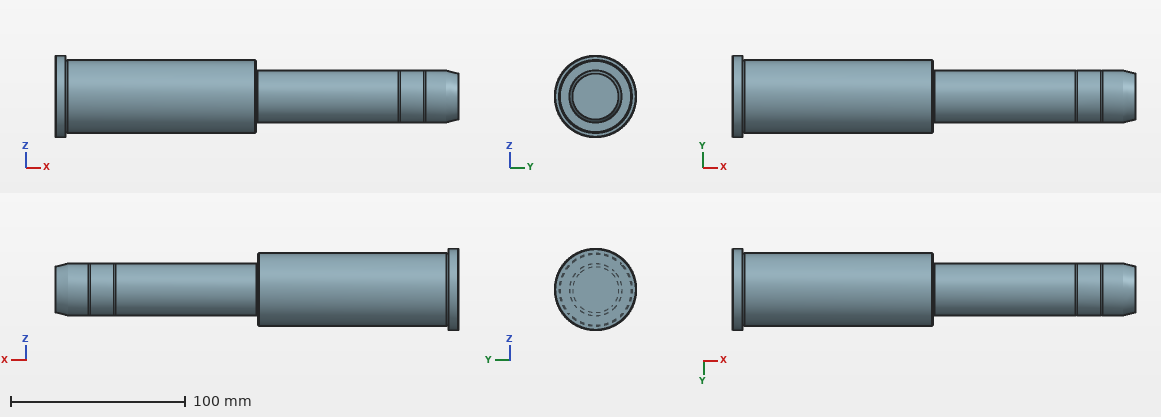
import cadquery as cq
import math

TOTAL_LENGTH = 231.0

HEAD_DIAMETER = 47.0
HEAD_LENGTH = 6.0
HEAD_CHAMFER = 0.5

RELIEF_WIDTH = 1.2
RELIEF_DEPTH = 0.35

BODY_DIAMETER = 42.0
BODY_END = 115.0
BODY_CHAMFER = 0.7

PIN_DIAMETER = 30.0
ROOT_RELIEF_WIDTH = 1.0
ROOT_RELIEF_DEPTH = 0.12
TIP_LENGTH = 7.5
TIP_ANGLE = 14.0

GROOVE_STARTS = (196.4, 211.1)
GROOVE_WIDTH = 1.2
GROOVE_DEPTH = 0.12


def cylinder(diameter, start, end):
    """Solid cylinder along X between two stations."""
    return cq.Workplane("YZ", origin=(start, 0, 0)).circle(diameter / 2).extrude(end - start)


def ring_groove(diameter, start, width, depth):
    """Ring that cuts a rectangular groove into a shaft of the given diameter."""
    return cylinder(diameter + 2 * depth, start, start + width).cut(
        cylinder(diameter - 2 * depth, start, start + width)
    )


def make_head():
    head = cylinder(HEAD_DIAMETER, 0, HEAD_LENGTH)
    return head.faces("<X or >X").chamfer(HEAD_CHAMFER)


def make_body():
    body = cylinder(BODY_DIAMETER, HEAD_LENGTH, BODY_END)
    body = body.faces(">X").chamfer(BODY_CHAMFER)
    return body.cut(ring_groove(BODY_DIAMETER, HEAD_LENGTH, RELIEF_WIDTH, RELIEF_DEPTH))


def make_pin():
    tip_inset = TIP_LENGTH * math.tan(math.radians(TIP_ANGLE))
    pin = cylinder(PIN_DIAMETER, BODY_END, TOTAL_LENGTH)
    pin = pin.faces(">X").chamfer(TIP_LENGTH, tip_inset)
    pin = pin.cut(ring_groove(PIN_DIAMETER, BODY_END, ROOT_RELIEF_WIDTH, ROOT_RELIEF_DEPTH))
    for start in GROOVE_STARTS:
        pin = pin.cut(ring_groove(PIN_DIAMETER, start, GROOVE_WIDTH, GROOVE_DEPTH))
    return pin


result = make_head().union(make_body()).union(make_pin())